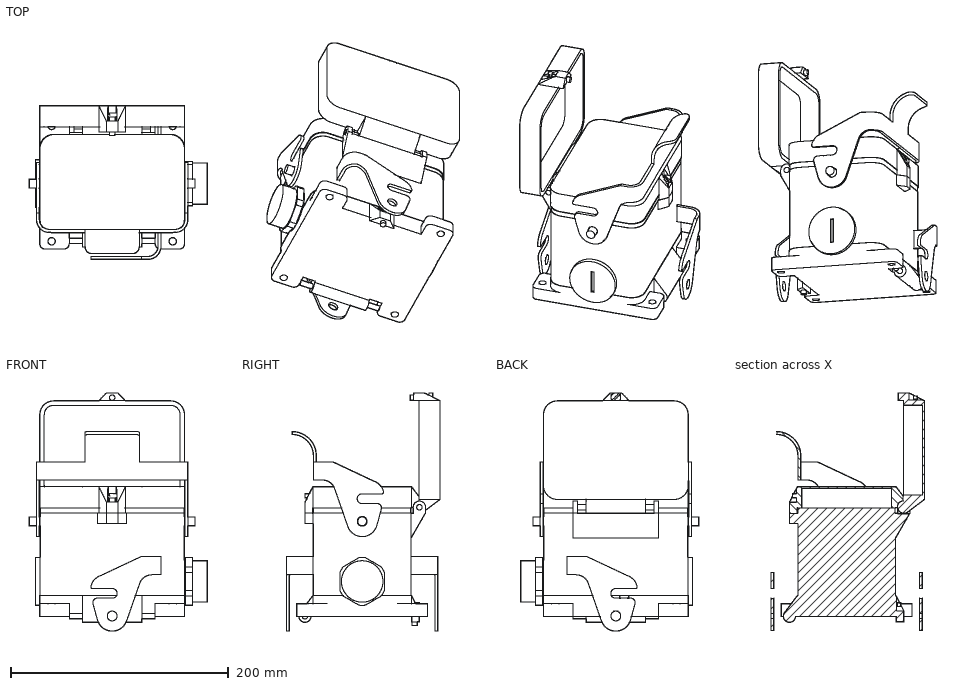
import cadquery as cq
import math


LID_WIDTH = 133.0
LID_DEPTH = 90.6
LID_HEIGHT = 19.5
LID_WALL = 4.2
LID_PANEL = 2.0
CORNER_RADIUS = 13.0

HINGE_REACH = 7.2
HINGE_RISE = 0.5
HINGE_Y = LID_DEPTH / 2 + HINGE_REACH
HINGE_PIN_DIAMETER = 5.0
BARREL_RADIUS = 5.7
BARREL_HALF_WIDTH = 27.4
EAR_THICKNESS = 4.4
EAR_OUTER_X = 39.5

BOSS_REACH = 7.2
BOSS_HALF_WIDTH = 12.3
BOSS_FRONT_HALF_WIDTH = 5.3
BOSS_DROP = 4.8
BOSS_SLOPE_FOOT = 5.3
SCREW_REACH = 2.8
SCREW_SHANK_DIAMETER = 5.0
SCREW_HEAD_DIAMETER = 8.8
SCREW_POCKET_DIAMETER = 9.0
SCREW_HEAD_BOTTOM = 9.2
SCREW_HEAD_TOP = 13.0
SCREW_TIP_DROP = 3.3
SCREW_SLOT_WIDTH = 1.5
SCREW_SLOT_DEPTH = 2.0

BODY_INSET = 0.33
BODY_WIDTH = LID_WIDTH - 2 * BODY_INSET
BODY_DEPTH = LID_DEPTH - 2 * BODY_INSET
RIM_INSET = 0.2
RIM_Z = 100.0
BASE_HEIGHT = LID_HEIGHT
FOOT_HEIGHT = 12.0
FOOT_REACH_Y = 60.2
FOOT_START_Y = LID_DEPTH / 2 - CORNER_RADIUS
FOOT_CORNER_RADIUS = 5.0
FOOT_HOLE_DIAMETER = 6.5
FOOT_HOLE_X = 55.5
FOOT_HOLE_Y = 53.0
CATCH_TOP_Z = RIM_Z - BOSS_DROP
CATCH_HEIGHT = 9.9
CATCH_HALF_WIDTH = 13.4
BRACKET_FOOT_Z = 72.2
BRACKET_SEAT_CLEARANCE = 0.2
LEVER_PIN_DIAMETER = 8.0
LEVER_PIN_Z = 87.5
LEVER_PIN_END_X = 76.2

LEVER_HALF_WIDTH = 69.5
LEVER_THICKNESS = 2.8
LEVER_BRIDGE_Y = -44.9
LEVER_HOLE_DIAMETER = 9.0
LEVER_END_RADIUS = 14.0
LEVER_BRIDGE_BOTTOM = 37.9
LEVER_BRIDGE_TOP = 54.7
LEVER_CORNER_RADIUS = 12.0
LEVER_INNER_FILLET = 12.0
LEVER_SLOT_BOTTOM = 16.5
LEVER_SLOT_TOP = 25.2
LEVER_SLOT_CENTRE = 0.2
LEVER_TAIL_FILLET = 4.2
LEVER_THROAT = (28.0, LEVER_BRIDGE_BOTTOM)
LEVER_TAIL = (-19.0, LEVER_SLOT_BOTTOM)
LEVER_SHOULDER = 27.0
LEVER_NOSE_START = (-10.3, 37.2)
LEVER_NOSE_MIDDLE = (-16.6, 33.0)
LEVER_NOSE_TIP = (-19.5, 27.4)
LEVER_LIP_MIDDLE = (-19.3, 25.8)
LEVER_LIP_END = -18.0
SHEET_BACK_Y = 21.9
LOWER_PIVOT_Z = 0.7
TAB_HALF_WIDTH = 25.0
TAB_BEND_Z = 60.2
TAB_OUTER_RADIUS = 22.3
TAB_CORNER_RADIUS = 6.3

ENTRY_Z = 32.5
PLUG_DIAMETER = 44.0
PLUG_END_X = -70.5
PLUG_SLOT_WIDTH = 2.6
PLUG_SLOT_LENGTH = 21.9
PLUG_SLOT_DEPTH = 2.0
GLAND_NECK_DIAMETER = 39.0
GLAND_THREAD_DIAMETER = 38.0
GLAND_END_X = 87.3
NUT_START_X = 67.2
NUT_END_X = 73.8
NUT_ROUND_DIAMETER = 44.0
NUT_ACROSS_FLATS = 40.7


def box(x0, x1, y0, y1, z0, z1):
    """Box between two opposite corners."""
    return cq.Workplane("XY").box(x1 - x0, y1 - y0, z1 - z0, centered=False).translate((x0, y0, z0))


def rounded_block(width, depth, radius, z0, z1):
    """Block centred on the Z axis, with rounded vertical edges."""
    block = box(-width / 2, width / 2, -depth / 2, depth / 2, z0, z1)
    return block.edges("|Z").fillet(radius)


def x_cylinder(diameter, x0, x1, y, z):
    """Cylinder along X."""
    return cq.Workplane("YZ", origin=(x0, y, z)).circle(diameter / 2).extrude(x1 - x0)


def z_cylinder(diameter, x, y, z0, z1):
    """Cylinder along Z."""
    return cq.Workplane("XY", origin=(x, y, z0)).circle(diameter / 2).extrude(z1 - z0)


def tangent_point(point, radius, side):
    """Where a line from `point` touches a circle on the origin; `side` (+1 or -1) picks which line."""
    direction = math.atan2(point[1], point[0])
    swing = math.acos(radius / math.hypot(*point))
    angle = direction + side * swing
    return (radius * math.cos(angle), radius * math.sin(angle))


def boss_block(half_width, wall_y, z0, z1):
    """Upright boss on a front wall, tapering to the width of its front face."""
    front_y = -LID_DEPTH / 2 - BOSS_REACH
    outline = [
        (-half_width, wall_y),
        (-BOSS_FRONT_HALF_WIDTH, front_y),
        (BOSS_FRONT_HALF_WIDTH, front_y),
        (half_width, wall_y),
    ]
    return cq.Workplane("XY", origin=(0, 0, z0)).polyline(outline).close().extrude(z1 - z0)


def latch_boss():
    """Boss with a sloped top, and the slotted screw in its pocket."""
    wall_y = -LID_DEPTH / 2
    front_y = wall_y - BOSS_REACH
    screw_y = wall_y - SCREW_REACH
    side_outline = [
        (wall_y, -BOSS_DROP),
        (front_y, -BOSS_DROP),
        (front_y, BOSS_SLOPE_FOOT),
        (wall_y, LID_HEIGHT),
    ]
    side = cq.Workplane("YZ").polyline(side_outline).close().extrude(BOSS_HALF_WIDTH, both=True)
    boss = boss_block(BOSS_HALF_WIDTH, wall_y, -BOSS_DROP, LID_HEIGHT).intersect(side)
    pocket = z_cylinder(SCREW_POCKET_DIAMETER, 0, screw_y, BOSS_SLOPE_FOOT, LID_HEIGHT)
    pocket_radius = SCREW_POCKET_DIAMETER / 2
    pocket_mouth = box(-pocket_radius, pocket_radius, front_y, screw_y, BOSS_SLOPE_FOOT, LID_HEIGHT)
    boss = boss.cut(pocket).cut(pocket_mouth)

    shank_bottom = -BOSS_DROP - SCREW_TIP_DROP
    shank = z_cylinder(SCREW_SHANK_DIAMETER, 0, screw_y, shank_bottom, SCREW_HEAD_BOTTOM)
    head = z_cylinder(SCREW_HEAD_DIAMETER, 0, screw_y, SCREW_HEAD_BOTTOM, SCREW_HEAD_TOP)
    slot = (
        cq.Workplane("XY", origin=(0, screw_y, SCREW_HEAD_TOP - SCREW_SLOT_DEPTH))
        .transformed(rotate=(0, 0, 45))
        .rect(2 * SCREW_HEAD_DIAMETER, SCREW_SLOT_WIDTH)
        .extrude(SCREW_SLOT_DEPTH)
    )
    return boss.union(shank).union(head.cut(slot))


def hinge_knuckle():
    """Wedge from the back wall to the barrel, with the pin standing out at both ends."""
    wall_y = LID_DEPTH / 2
    touch = tangent_point((-HINGE_REACH, LID_HEIGHT - HINGE_RISE), BARREL_RADIUS, -1)
    outline = [
        (wall_y, 0),
        (wall_y, LID_HEIGHT),
        (HINGE_Y + touch[0], HINGE_RISE + touch[1]),
        (HINGE_Y, HINGE_RISE),
    ]
    wedge = cq.Workplane("YZ").polyline(outline).close().extrude(BARREL_HALF_WIDTH, both=True)
    barrel = x_cylinder(
        2 * BARREL_RADIUS, -BARREL_HALF_WIDTH, BARREL_HALF_WIDTH, HINGE_Y, HINGE_RISE
    )
    pin = x_cylinder(HINGE_PIN_DIAMETER, -EAR_OUTER_X, EAR_OUTER_X, HINGE_Y, HINGE_RISE)
    return wedge.union(barrel).union(pin)


def lid():
    """Hollow cover with its latch boss and hinge knuckle."""
    shell = rounded_block(LID_WIDTH, LID_DEPTH, CORNER_RADIUS, 0, LID_HEIGHT)
    hollow = rounded_block(
        LID_WIDTH - 2 * LID_WALL,
        LID_DEPTH - 2 * LID_WALL,
        CORNER_RADIUS - LID_WALL,
        0,
        LID_HEIGHT - LID_PANEL,
    )
    return shell.cut(hollow).union(latch_boss()).union(hinge_knuckle())


def lever_side_outline():
    """Side outline of a lever, drawn with forward and up as its axes."""
    front_touch = tangent_point(LEVER_THROAT, LEVER_END_RADIUS, -1)
    back_touch = tangent_point(LEVER_TAIL, LEVER_END_RADIUS, 1)
    slot_middle = (LEVER_SLOT_BOTTOM + LEVER_SLOT_TOP) / 2
    slot_radius = (LEVER_SLOT_TOP - LEVER_SLOT_BOTTOM) / 2
    bridge_reach = -LEVER_BRIDGE_Y
    return (
        cq.Workplane("YZ")
        .moveTo(*front_touch)
        .lineTo(*LEVER_THROAT)
        .lineTo(bridge_reach, LEVER_BRIDGE_BOTTOM)
        .lineTo(bridge_reach, LEVER_BRIDGE_TOP)
        .lineTo(LEVER_SHOULDER, LEVER_BRIDGE_TOP)
        .lineTo(*LEVER_NOSE_START)
        .threePointArc(LEVER_NOSE_MIDDLE, LEVER_NOSE_TIP)
        .threePointArc(LEVER_LIP_MIDDLE, (LEVER_LIP_END, LEVER_SLOT_TOP))
        .lineTo(LEVER_SLOT_CENTRE, LEVER_SLOT_TOP)
        .threePointArc(
            (LEVER_SLOT_CENTRE + slot_radius, slot_middle), (LEVER_SLOT_CENTRE, LEVER_SLOT_BOTTOM)
        )
        .lineTo(*LEVER_TAIL)
        .lineTo(*back_touch)
        .threePointArc((0, -LEVER_END_RADIUS), front_touch)
        .close()
    )


def lever_tab():
    """Handle tab that rises from the bridge and curls forward a quarter turn."""
    inner_y = LEVER_BRIDGE_Y + LEVER_THICKNESS
    centre_y = inner_y - TAB_OUTER_RADIUS
    inner_radius = TAB_OUTER_RADIUS - LEVER_THICKNESS
    diagonal = math.sqrt(0.5)
    tab = (
        cq.Workplane("YZ")
        .moveTo(inner_y, LEVER_BRIDGE_TOP)
        .lineTo(inner_y, TAB_BEND_Z)
        .threePointArc(
            (centre_y + TAB_OUTER_RADIUS * diagonal, TAB_BEND_Z + TAB_OUTER_RADIUS * diagonal),
            (centre_y, TAB_BEND_Z + TAB_OUTER_RADIUS),
        )
        .lineTo(centre_y, TAB_BEND_Z + inner_radius)
        .threePointArc(
            (centre_y + inner_radius * diagonal, TAB_BEND_Z + inner_radius * diagonal),
            (LEVER_BRIDGE_Y, TAB_BEND_Z),
        )
        .lineTo(LEVER_BRIDGE_Y, LEVER_BRIDGE_TOP)
        .close()
        .extrude(TAB_HALF_WIDTH, both=True)
    )
    plan = box(
        -TAB_HALF_WIDTH, TAB_HALF_WIDTH, centre_y, inner_y,
        LEVER_BRIDGE_TOP, TAB_BEND_Z + TAB_OUTER_RADIUS,
    )
    return tab.intersect(plan.edges("|Z and <Y").fillet(TAB_CORNER_RADIUS))


def lever():
    """Bent sheet lever: two side plates, the bridge that joins them, and the handle tab."""
    outer = box(
        -LEVER_HALF_WIDTH, LEVER_HALF_WIDTH, LEVER_BRIDGE_Y, SHEET_BACK_Y,
        -LEVER_END_RADIUS, LEVER_BRIDGE_TOP,
    ).edges("|Z and <Y").fillet(LEVER_CORNER_RADIUS)
    inner_half = LEVER_HALF_WIDTH - LEVER_THICKNESS
    inner = box(
        -inner_half, inner_half, LEVER_BRIDGE_Y + LEVER_THICKNESS, SHEET_BACK_Y,
        -LEVER_END_RADIUS, LEVER_BRIDGE_TOP,
    ).edges("|Z and <Y").fillet(LEVER_CORNER_RADIUS - LEVER_THICKNESS)

    side = lever_side_outline().extrude(LEVER_HALF_WIDTH, both=True)
    throat_edge = cq.selectors.NearestToPointSelector((0, *LEVER_THROAT))
    tail_edge = cq.selectors.NearestToPointSelector((0, *LEVER_TAIL))
    side = side.edges(throat_edge).fillet(LEVER_INNER_FILLET)
    side = side.edges(tail_edge).fillet(LEVER_TAIL_FILLET)
    side = side.mirror("XZ")

    hole = x_cylinder(LEVER_HOLE_DIAMETER, -LEVER_HALF_WIDTH, LEVER_HALF_WIDTH, 0, 0)
    return outer.cut(inner).intersect(side).cut(hole).union(lever_tab())


def foot(side_x, side_y):
    """Drilled mounting foot at one corner of the base."""
    block = box(EAR_OUTER_X, LID_WIDTH / 2, FOOT_START_Y, FOOT_REACH_Y, 0, FOOT_HEIGHT)
    block = block.edges("|Z and >Y").fillet(FOOT_CORNER_RADIUS)
    block = block.cut(z_cylinder(FOOT_HOLE_DIAMETER, FOOT_HOLE_X, FOOT_HOLE_Y, 0, FOOT_HEIGHT))
    if side_x < 0:
        block = block.mirror("YZ")
    if side_y < 0:
        block = block.mirror("XZ")
    return block


def hinge_bracket():
    """Bracket on the back wall, with two ears that carry the lid's hinge pin."""
    pin_z = RIM_Z + HINGE_RISE
    wall_y = BODY_DEPTH / 2
    outer_y = HINGE_Y + BARREL_RADIUS
    inner_y = HINGE_Y - BARREL_RADIUS
    outline = [
        (wall_y, BRACKET_FOOT_Z),
        (outer_y, CATCH_TOP_Z),
        (outer_y, pin_z),
        (inner_y, pin_z),
        (inner_y, CATCH_TOP_Z),
        (wall_y, CATCH_TOP_Z),
    ]
    bracket = cq.Workplane("YZ").polyline(outline).close().extrude(EAR_OUTER_X, both=True)
    bracket = bracket.union(x_cylinder(2 * BARREL_RADIUS, -EAR_OUTER_X, EAR_OUTER_X, HINGE_Y, pin_z))
    gap_half = EAR_OUTER_X - EAR_THICKNESS
    seat_z = pin_z - BARREL_RADIUS - BRACKET_SEAT_CLEARANCE
    gap = box(-gap_half, gap_half, inner_y, outer_y, seat_z, pin_z + BARREL_RADIUS)
    bore = x_cylinder(HINGE_PIN_DIAMETER, -EAR_OUTER_X, EAR_OUTER_X, HINGE_Y, pin_z)
    return bracket.cut(gap).cut(bore)


def housing():
    """Body on its footed base, with the lid's hinge bracket and catch, and the lever pins."""
    shape = rounded_block(LID_WIDTH, LID_DEPTH, CORNER_RADIUS, 0, BASE_HEIGHT)
    shape = shape.union(rounded_block(BODY_WIDTH, BODY_DEPTH, CORNER_RADIUS, BASE_HEIGHT, CATCH_TOP_Z))
    rim_width = BODY_WIDTH - 2 * RIM_INSET
    rim_depth = BODY_DEPTH - 2 * RIM_INSET
    shape = shape.union(rounded_block(rim_width, rim_depth, CORNER_RADIUS, CATCH_TOP_Z, RIM_Z))
    for side_x in (-1, 1):
        for side_y in (-1, 1):
            shape = shape.union(foot(side_x, side_y))

    fittings = latch_boss().union(hinge_knuckle())
    shape = shape.union(fittings.rotate((0, 0, 0), (0, 0, 1), 180))

    catch = boss_block(CATCH_HALF_WIDTH, -BODY_DEPTH / 2, CATCH_TOP_Z - CATCH_HEIGHT, CATCH_TOP_Z)
    screw_hole = z_cylinder(
        SCREW_SHANK_DIAMETER, 0, -LID_DEPTH / 2 - SCREW_REACH, CATCH_TOP_Z - SCREW_TIP_DROP, CATCH_TOP_Z
    )
    shape = shape.union(catch).cut(screw_hole).union(hinge_bracket())
    return shape.union(x_cylinder(LEVER_PIN_DIAMETER, -LEVER_PIN_END_X, LEVER_PIN_END_X, 0, LEVER_PIN_Z))


def blanking_plug():
    """Round slotted plug that closes the -X cable entry."""
    plug = x_cylinder(PLUG_DIAMETER, PLUG_END_X, -BODY_WIDTH / 2, 0, ENTRY_Z)
    slot = box(
        PLUG_END_X, PLUG_END_X + PLUG_SLOT_DEPTH,
        -PLUG_SLOT_WIDTH / 2, PLUG_SLOT_WIDTH / 2,
        ENTRY_Z - PLUG_SLOT_LENGTH / 2, ENTRY_Z + PLUG_SLOT_LENGTH / 2,
    )
    return plug.cut(slot)


def cable_gland():
    """Neck, hexagon with rounded corners, and thread on the +X cable entry."""
    neck = x_cylinder(GLAND_NECK_DIAMETER, BODY_WIDTH / 2, NUT_START_X, 0, ENTRY_Z)
    across_corners = NUT_ACROSS_FLATS / math.cos(math.pi / 6)
    hexagon = (
        cq.Workplane("YZ", origin=(NUT_START_X, 0, ENTRY_Z))
        .transformed(rotate=(0, 0, 30))
        .polygon(6, across_corners)
        .extrude(NUT_END_X - NUT_START_X)
    )
    nut = hexagon.intersect(x_cylinder(NUT_ROUND_DIAMETER, NUT_START_X, NUT_END_X, 0, ENTRY_Z))
    thread = x_cylinder(GLAND_THREAD_DIAMETER, NUT_END_X, GLAND_END_X, 0, ENTRY_Z)
    return neck.union(nut).union(thread)


lid_on_rim = lid().translate((0, 0, RIM_Z))
hinge_axis_start = (0, HINGE_Y, RIM_Z + HINGE_RISE)
hinge_axis_end = (1, HINGE_Y, RIM_Z + HINGE_RISE)
open_lid = lid_on_rim.rotate(hinge_axis_start, hinge_axis_end, -90)
closed_lid = lid_on_rim.cut(open_lid)

upper_lever = lever().translate((0, 0, LEVER_PIN_Z))
lower_lever = lever().rotate((0, 0, 0), (0, 0, 1), 90).translate((0, 0, LOWER_PIVOT_Z))
plug = blanking_plug()
gland = cable_gland()

connector_housing = housing().cut(lower_lever).cut(plug).cut(gland)

result = cq.Compound.makeCompound(
    [
        connector_housing.solids().val(),
        closed_lid.solids().val(),
        open_lid.solids().val(),
        upper_lever.solids().val(),
        lower_lever.solids().val(),
        plug.solids().val(),
        gland.solids().val(),
    ]
)